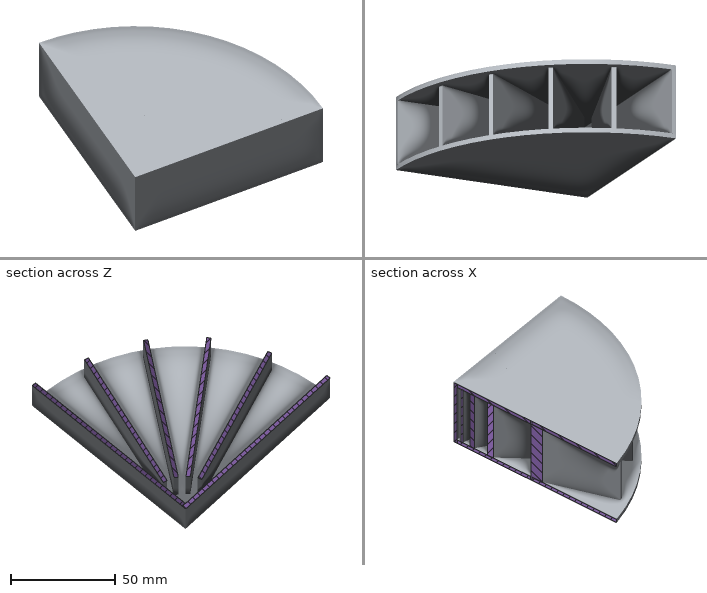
import cadquery as cq
import math

radius = 101.1
height = 36.8
sheet = 2.3

tab_length = 9.3
first_tab = 14.0
tab_pitch = 32.1
tab_count = 3
tab_places = [first_tab + i * tab_pitch for i in range(tab_count)]
divider_tab_places = tab_places[1:]

divider_count = 4
divider_step = 90.0 / (divider_count + 1)
divider_start = 18.2
divider_end = 97.0


def box(x_range, y_range, z_range):
    """Box between the given limits along each axis."""
    lows, highs = zip(x_range, y_range, z_range)
    sizes = [high - low for low, high in zip(lows, highs)]
    return cq.Workplane("XY").box(*sizes, centered=False).translate(lows)


def centred_range(middle, length):
    """Limits of a stretch of the given length around its middle."""
    return middle - length / 2, middle + length / 2


def make_front_wall():
    """Wall along X, with tabs up and down and an edge notch for the side wall's tab."""
    wall = box((-radius, 0), (0, sheet), (sheet, height - sheet))
    for place in tab_places:
        wall = wall.union(box(centred_range(-place, tab_length), (0, sheet), (0, height)))
    notch = box((-sheet, 0), (0, sheet), centred_range(height / 2, tab_length))
    return wall.cut(notch)


def make_side_wall():
    """Wall along Y, with tabs up and down and one tab into the front wall."""
    wall = box((-sheet, 0), (sheet, radius), (sheet, height - sheet))
    for place in tab_places:
        wall = wall.union(box((-sheet, 0), centred_range(place, tab_length), (0, height)))
    corner_tab = box((-sheet, 0), (0, sheet), centred_range(height / 2, tab_length))
    return wall.union(corner_tab)


def make_divider(angle):
    """Radial panel with two tabs up and down; its +Y face lies on the ray at this angle from -X."""
    panel = box((-divider_end, -divider_start), (-sheet, 0), (sheet, height - sheet))
    for place in divider_tab_places:
        panel = panel.union(box(centred_range(-place, tab_length), (-sheet, 0), (0, height)))
    return panel.rotate((0, 0, 0), (0, 0, 1), -angle)


def make_plate(bottom, panels):
    """Quarter-circle plate with a slot for every tab of the upright panels."""
    arc_middle = radius * math.sqrt(0.5)
    plate = (
        cq.Workplane("XY", origin=(0, 0, bottom))
        .lineTo(0, radius)
        .threePointArc((-arc_middle, arc_middle), (-radius, 0))
        .close()
        .extrude(sheet)
    )
    for panel in panels:
        plate = plate.cut(panel)
    return plate


front_wall = make_front_wall()
side_wall = make_side_wall()
dividers = [make_divider((i + 1) * divider_step) for i in range(divider_count)]

uprights = [front_wall, side_wall, *dividers]
bottom_plate = make_plate(0, uprights)
top_plate = make_plate(height - sheet, uprights)

bodies = [bottom_plate, top_plate, *uprights]
result = cq.Compound.makeCompound([body.solids().val() for body in bodies])